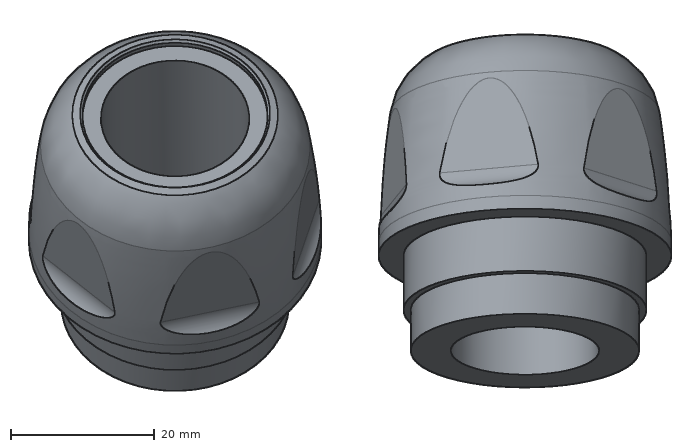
import cadquery as cq

thread_radius = 16.0
thread_height = 6.0
collar_radius = 17.0

flange_radius = 20.5
flange_bottom = 14.0
flange_top = 16.0
dome_base_radius = 18.85
dome_base_height = 35.0
skirt_sag = 0.25
dome_arc_radius = 10.0
lip_radius = 14.4
lip_height = 41.85
total_height = 42.15

mouth_radius = 13.3
mouth_chamfer = 0.35
seat_radius = 12.95
seat_depth = 1.1
bore_radius = 10.37

flat_count = 6
flat_distance = 18.98
flat_bottom = 20.7
runout_radius = 3.5


def make_body():
    """Revolve the half section, including the bore, about Z."""
    skirt_middle = (
        (flange_radius + dome_base_radius) / 2 + skirt_sag,
        (flange_top + dome_base_height) / 2,
    )
    return (
        cq.Workplane("XZ")
        .moveTo(bore_radius, 0)
        .lineTo(thread_radius, 0)
        .lineTo(thread_radius, thread_height)
        .lineTo(collar_radius, thread_height)
        .lineTo(collar_radius, flange_bottom)
        .lineTo(flange_radius, flange_bottom)
        .lineTo(flange_radius, flange_top)
        .threePointArc(skirt_middle, (dome_base_radius, dome_base_height))
        .radiusArc((lip_radius, lip_height), -dome_arc_radius)
        .lineTo(mouth_radius, total_height)
        .lineTo(seat_radius, total_height - mouth_chamfer)
        .lineTo(seat_radius, total_height - seat_depth)
        .lineTo(bore_radius, total_height - seat_depth)
        .close()
        .revolve(360, (0, 0, 0), (0, 1, 0))
    )


def make_flat_cutter():
    """Block outside a +X flat, with a quarter-round foot tangent to the flat."""
    arc_end = (flat_distance + runout_radius, flat_bottom - runout_radius)
    return (
        cq.Workplane("XZ")
        .moveTo(flat_distance, total_height)
        .lineTo(flat_distance, flat_bottom)
        .radiusArc(arc_end, -runout_radius)
        .lineTo(arc_end[0], total_height)
        .close()
        .extrude(flange_radius / 2, both=True)
    )


result = make_body()
flat_cutter = make_flat_cutter()
for index in range(flat_count):
    angle = (index + 0.5) * 360 / flat_count
    result = result.cut(flat_cutter.rotate((0, 0, 0), (0, 0, 1), angle))